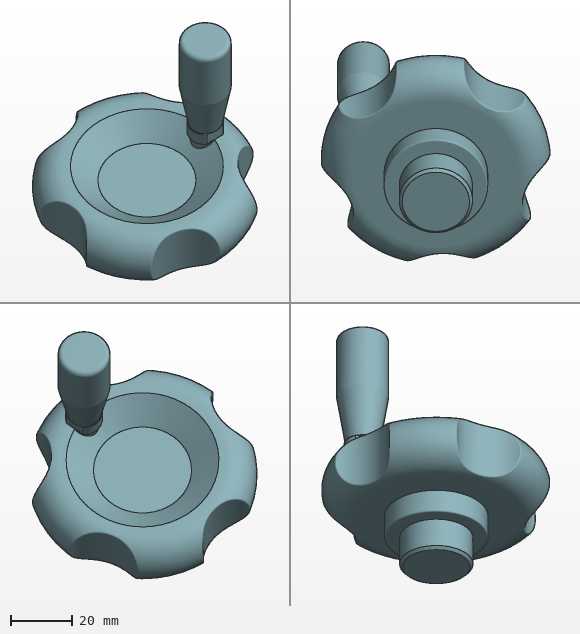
import cadquery as cq

boss_diameter = 24.0
boss_chamfer = 1.0
collar_diameter = 34.0
collar_bottom = 11.0
collar_fillet = 0.5

wheel_radius = 37.5
rim_thickness = 20.0
rim_round = rim_thickness / 2
rim_center_radius = wheel_radius - rim_round
wheel_bottom = 19.05
wheel_top = wheel_bottom + rim_thickness

dish_top_radius = 25.0
dish_floor_radius = 16.0
dish_depth = 7.0

scallop_count = 5
scallop_radius = 15.6
scallop_depth = 7.6
scallop_center_radius = wheel_radius - scallop_depth + scallop_radius
scallop_first_angle = -90
scallop_edge_fillet = 0.5

handle_offset = 24.6
handle_top = 83.9
grip_radius = 17.0 / 2
grip_fillet = 1.6
grip_straight_bottom = 61.3
grip_bottom = 44.0
grip_bottom_radius = 5.7
neck_diameter = 12.1
neck_gap = 0.2
neck_flat_width = 10.0
pin_diameter = 10.0


def make_wheel():
    """Disc with a half-round rim, dished on top and scalloped around the edge."""
    wheel = (
        cq.Workplane("XZ")
        .moveTo(0, wheel_bottom)
        .lineTo(rim_center_radius, wheel_bottom)
        .threePointArc((wheel_radius, wheel_bottom + rim_round), (rim_center_radius, wheel_top))
        .lineTo(dish_top_radius, wheel_top)
        .lineTo(dish_floor_radius, wheel_top - dish_depth)
        .lineTo(0, wheel_top - dish_depth)
        .close()
        .revolve(360, (0, 0), (0, 1))
    )
    scallops = (
        cq.Workplane("XY", origin=(0, 0, wheel_bottom))
        .polarArray(scallop_center_radius, scallop_first_angle, 360, scallop_count)
        .circle(scallop_radius)
        .extrude(rim_thickness)
    )
    wheel = wheel.cut(scallops)
    return wheel.faces("%CYLINDER").edges().fillet(scallop_edge_fillet)


def make_hub():
    """Collar under the wheel with a narrower chamfered boss below it."""
    boss = (
        cq.Workplane("XY")
        .circle(boss_diameter / 2)
        .extrude(collar_bottom)
        .faces("<Z")
        .chamfer(boss_chamfer)
    )
    collar = (
        cq.Workplane("XY", origin=(0, 0, collar_bottom))
        .circle(collar_diameter / 2)
        .extrude(wheel_bottom - collar_bottom)
        .faces("<Z")
        .edges()
        .fillet(collar_fillet)
    )
    return boss.union(collar)


def make_handle():
    """Tapered grip just above a neck with two flats, joined by a pin that reaches into the dish wall."""
    grip = (
        cq.Workplane("XZ")
        .moveTo(0, grip_bottom)
        .lineTo(grip_bottom_radius, grip_bottom)
        .lineTo(grip_radius, grip_straight_bottom)
        .lineTo(grip_radius, handle_top)
        .lineTo(0, handle_top)
        .close()
        .revolve(360, (0, 0), (0, 1))
        .faces(">Z")
        .edges()
        .fillet(grip_fillet)
    )
    neck_height = grip_bottom - neck_gap - wheel_top
    flats = cq.Workplane("XY").box(neck_flat_width, neck_diameter, neck_height, centered=(True, True, False))
    neck = cq.Workplane("XY").circle(neck_diameter / 2).extrude(neck_height).intersect(flats)
    pin = (
        cq.Workplane("XY", origin=(0, 0, wheel_top - dish_depth))
        .circle(pin_diameter / 2)
        .extrude(grip_bottom - wheel_top + dish_depth)
    )
    handle = grip.union(neck.translate((0, 0, wheel_top))).union(pin)
    return handle.translate((0, handle_offset, 0))


result = make_wheel().union(make_hub()).union(make_handle())